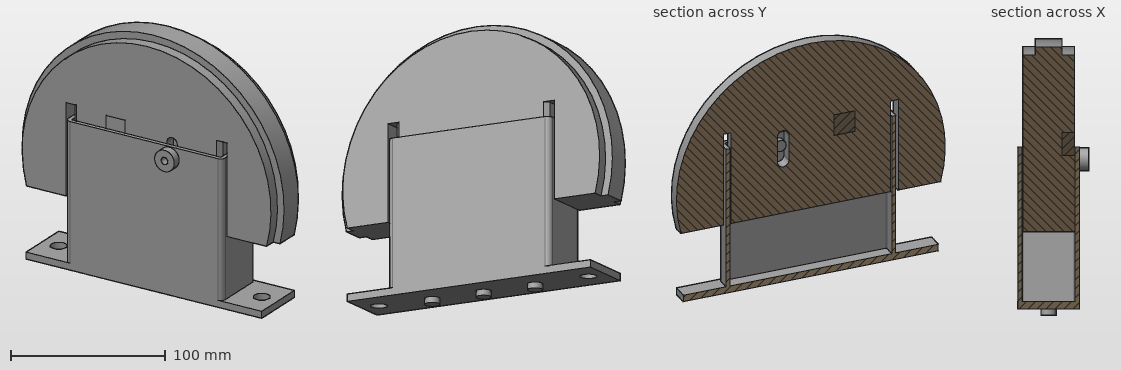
import cadquery as cq

base_length = 180.0
base_width = 40.0
base_thickness = 5.0
tube_length = 120.0
tube_width = base_width
tube_height = 100.0
tube_wall = 3.0
tube_corner_radius = 3.5
mounting_hole_diameter = 11.0
mounting_hole_offset = 77.5
peg_diameter = 10.0
peg_height = 4.0
peg_spacing = 38.0

tube_top = base_thickness + tube_height
tube_front = -tube_width / 2

wheel_radius = 100.0
wheel_center_height = 75.0
wheel_bottom = wheel_center_height - 25.0
rim_width = 17.5
cheek_radius = 95.0
cheek_thickness = 8.0
wheel_width = rim_width + 2 * cheek_thickness
wheel_front = -wheel_width / 2

notch_outer = 61.5
notch_inner = 56.5
notch_top = 116.0
tongue_chamfer = 3.0

screw_x = 19.5
screw_z = tube_top - 8.0
screw_head_diameter = 15.0
screw_head_height = 6.0
screw_shank_diameter = 8.0
screw_tip_length = 4.0
screw_reach = tube_wall + screw_tip_length
socket_diameter = 5.0
socket_depth = screw_head_height
slot_width = screw_shank_diameter
slot_travel = 9.0
slot_depth = cheek_thickness

block_size = 14.5
block_x = -23.75
block_top = tube_top + 9.0
block_depth = cheek_thickness


def disc(radius, width):
    """Disc on the wheel axis, centred on the middle plane."""
    return (
        cq.Workplane("XZ", origin=(0, 0, wheel_center_height))
        .circle(radius)
        .extrude(width / 2, both=True)
    )


def front_plane(x, y, z):
    """Workplane through the point, with its normal toward +Y."""
    return cq.Workplane(cq.Plane(origin=(x, y, z), xDir=(-1, 0, 0), normal=(0, 1, 0)))


def make_block():
    center_z = block_top - block_size / 2
    return front_plane(block_x, wheel_front, center_z).rect(block_size, block_size).extrude(block_depth)


def make_guide_screw():
    head_face = tube_front - screw_head_height
    head = front_plane(screw_x, head_face, screw_z).circle(screw_head_diameter / 2).extrude(screw_head_height)
    shank = front_plane(screw_x, tube_front, screw_z).circle(screw_shank_diameter / 2).extrude(screw_reach)
    socket = front_plane(screw_x, head_face, screw_z).circle(socket_diameter / 2).extrude(socket_depth)
    return head.union(shank).cut(socket)


def make_housing():
    base = cq.Workplane("XY").box(base_length, base_width, base_thickness, centered=(True, True, False))
    holes = (
        cq.Workplane("XY")
        .pushPoints([(-mounting_hole_offset, 0), (mounting_hole_offset, 0)])
        .circle(mounting_hole_diameter / 2)
        .extrude(base_thickness)
    )
    tube = (
        cq.Workplane("XY", origin=(0, 0, base_thickness))
        .rect(tube_length, tube_width)
        .extrude(tube_height)
        .edges("|Z")
        .fillet(tube_corner_radius)
    )
    cavity = (
        cq.Workplane("XY", origin=(0, 0, base_thickness))
        .rect(tube_length - 2 * tube_wall, tube_width - 2 * tube_wall)
        .extrude(tube_height)
        .edges("|Z")
        .fillet(tube_corner_radius - tube_wall)
    )
    pegs = (
        cq.Workplane("XY")
        .pushPoints([(-peg_spacing, 0), (0, 0), (peg_spacing, 0)])
        .circle(peg_diameter / 2)
        .extrude(-peg_height)
    )
    screw_hole = front_plane(screw_x, tube_front, screw_z).circle(screw_shank_diameter / 2).extrude(tube_wall)
    return base.cut(holes).union(tube.cut(cavity)).union(pegs).cut(screw_hole)


def make_notches():
    """Full-width cut around a central tongue with chamfered upright edges."""
    height = notch_top - wheel_bottom
    opening = (
        cq.Workplane("XY", origin=(0, 0, wheel_bottom))
        .rect(2 * notch_outer, wheel_width)
        .extrude(height)
    )
    tongue = (
        cq.Workplane("XY", origin=(0, 0, wheel_bottom))
        .rect(2 * notch_inner, wheel_width)
        .extrude(height)
        .edges("|Z")
        .chamfer(tongue_chamfer)
    )
    return opening.cut(tongue)


def make_slot():
    """Slot that lets the wheel travel equally far above and below the screw."""
    slot_length = 2 * slot_travel + slot_width
    return (
        front_plane(screw_x, wheel_front, screw_z)
        .slot2D(slot_length, slot_width, 90)
        .extrude(slot_depth)
    )


def make_wheel(block):
    discs = disc(wheel_radius, rim_width).union(disc(cheek_radius, wheel_width))
    below_wheel = (
        cq.Workplane("XY", origin=(0, 0, wheel_bottom))
        .rect(2 * wheel_radius, wheel_width)
        .extrude(-wheel_radius)
    )
    return discs.cut(below_wheel).cut(make_notches()).cut(make_slot()).cut(block)


housing = make_housing()
block = make_block()
wheel = make_wheel(block)
guide_screw = make_guide_screw()

result = cq.Compound.makeCompound([housing.val(), wheel.val(), block.val(), guide_screw.val()])